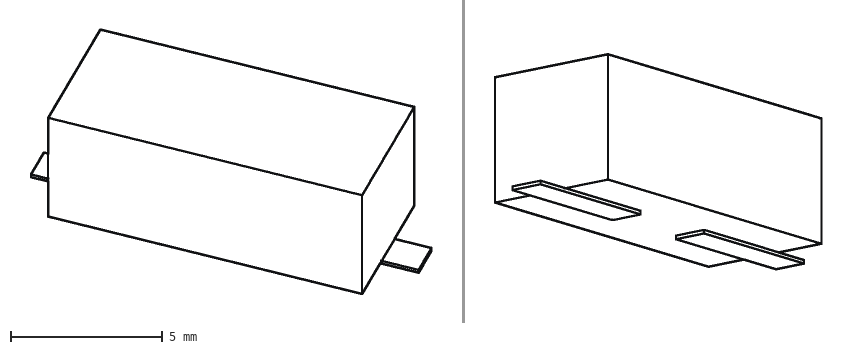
import cadquery as cq

overall_length = 13.7
overall_height = 4.4

lead_length = 5.2
lead_width = 1.2
lead_thickness = 0.12

housing_length = 11.1
housing_width = 4.84
housing_height = overall_height - lead_thickness


def make_housing():
    """Block centred in X and Y with its underside at Z = 0."""
    return cq.Workplane("XY").box(
        housing_length, housing_width, housing_height, centered=(True, True, False)
    )


def make_lead(side):
    """Strip touching the housing underside; side is -1 or +1 along X."""
    center_x = side * (overall_length - lead_length) / 2
    return (
        cq.Workplane("XY")
        .box(lead_length, lead_width, lead_thickness, centered=(True, True, False))
        .translate((center_x, 0, -lead_thickness))
    )


housing = make_housing()
leads = [make_lead(side) for side in (-1, 1)]

result = cq.Compound.makeCompound([housing.val(), *[lead.val() for lead in leads]])